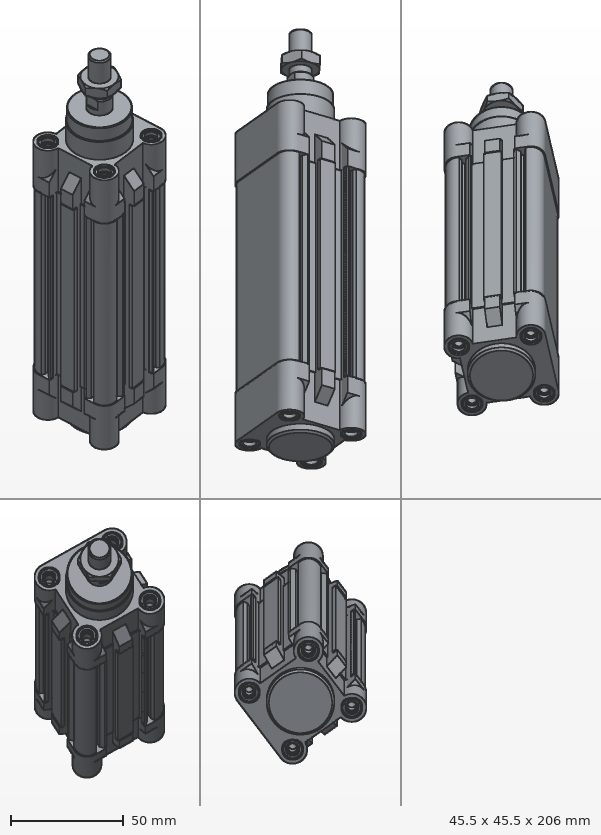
import cadquery as cq
import math


TOTAL_HEIGHT = 206.0
REAR_BOSS_HEIGHT = 4.0
FRONT_COVER_TOP = 158.0
COVER_LENGTH = 25.0
COLLAR_STEP_Z = 168.5
COLLAR_TOP = 176.0
THREAD_LENGTH = 21.6
NUT_BOTTOM = 187.9
NUT_HEIGHT = 5.5

COVER_WIDTH = 45.5
SCREW_OFFSET = 16.3
COVER_FLOOR = 16.9
RIB_WIDTH = 6.8
FOOT_INNER_EDGE = 10.0
STRAIGHT_RIB_LENGTH = 8.7

TUBE_WIDTH = 44.5
TUBE_FLOOR = 17.5
LIP_THICKNESS = 1.9
BAR_LIP_WIDTH = 8.0
LOBE_LIP_EDGE = 9.7
SENSOR_GROOVE_INNER = 10.7
SENSOR_GROOVE_OUTER = 15.0
SENSOR_GROOVE_FLANK = 1.6
SENSOR_GROOVE_STEEP_RUN = 0.8
SENSOR_GROOVE_DEPTH = 3.3
SENSOR_GROOVE_POINT = 0.8

COLLAR_DIAMETER = 30.0
COLLAR_NECK_DIAMETER = 29.0
COLLAR_CHAMFER = 0.5
REAR_BOSS_CHAMFER = 1.0

SCREW_RECESS_DIAMETER = 9.5
SCREW_RECESS_DEPTH = 1.5
SCREW_HEAD_DIAMETER = 8.7
SCREW_HEAD_TOP_DIAMETER = 8.0
SCREW_HEAD_DROP = 0.5
SCREW_SOCKET_DIAMETER = 6.0
SCREW_SOCKET_DEPTH = 2.5
SCREW_STEP_DIAMETER = 5.0
SCREW_STEP_DEPTH = 3.0
SCREW_HOLE_DIAMETER = 4.1
SCREW_HOLE_DEPTH = 8.2
DRILL_POINT_HALF_ANGLE = 59

ROD_DIAMETER = 12.0
ROD_FLATS = 10.0
ROD_FLATS_LENGTH = 5.4
THREAD_DIAMETER = 10.0
THREAD_TIP_DIAMETER = 8.7
ROD_SHOULDER_CHAMFER = 0.6
NUT_FLATS = 16.9
NUT_CHAMFER_ANGLE = 30

RECESSED_SIDE_ANGLES = (-90, 0, 90)
REAR_COVER_TOP = REAR_BOSS_HEIGHT + COVER_LENGTH
FRONT_COVER_BOTTOM = FRONT_COVER_TOP - COVER_LENGTH
THREAD_BOTTOM = TOTAL_HEIGHT - THREAD_LENGTH
SCREW_POSITIONS = [(sx * SCREW_OFFSET, sy * SCREW_OFFSET) for sx in (-1, 1) for sy in (-1, 1)]


def block(x0, x1, y0, y1, z0, z1):
    """A box between two corners."""
    return cq.Workplane("XY").box(x1 - x0, y1 - y0, z1 - z0, centered=False).translate((x0, y0, z0))


def turned(profile):
    """A solid of revolution about Z from (radius, height) points."""
    return cq.Workplane("XZ").polyline(profile).close().revolve(360, (0, 0), (0, 1))


def turned_to_side(shape, angle):
    """The shape made for the -Y side, turned about Z onto another side."""
    return shape.rotate((0, 0, 0), (0, 0, 1), angle)


def rounded_column(width, z0, z1):
    """A square column whose corners are rounded about the screw axes."""
    column = block(-width / 2, width / 2, -width / 2, width / 2, z0, z1)
    return column.edges("|Z").fillet(width / 2 - SCREW_OFFSET)


def rib_with_run_out(x0, x1):
    """A rib on the -Y side of the front cover whose upper end runs out at 45 degrees."""
    depth = COVER_WIDTH / 2 - COVER_FLOOR
    slope_start = FRONT_COVER_BOTTOM + STRAIGHT_RIB_LENGTH
    profile = [
        (-COVER_FLOOR, FRONT_COVER_BOTTOM),
        (-COVER_WIDTH / 2, FRONT_COVER_BOTTOM),
        (-COVER_WIDTH / 2, slope_start),
        (-COVER_FLOOR, slope_start + depth),
    ]
    return cq.Workplane("YZ").polyline(profile).close().extrude(x1 - x0).translate((x0, 0, 0))


def cover_screw_cut(x, y):
    """The space around a screw head, with the stepped socket and drilled hole in the head."""
    recess_floor = -SCREW_RECESS_DEPTH
    head_top = -SCREW_HEAD_DROP
    head_edge = head_top - (SCREW_HEAD_DIAMETER - SCREW_HEAD_TOP_DIAMETER) / 2
    point_length = SCREW_HOLE_DIAMETER / 2 / math.tan(math.radians(DRILL_POINT_HALF_ANGLE))
    cut = turned([
        (0, 0),
        (SCREW_RECESS_DIAMETER / 2, 0),
        (SCREW_RECESS_DIAMETER / 2, recess_floor),
        (SCREW_HEAD_DIAMETER / 2, recess_floor),
        (SCREW_HEAD_DIAMETER / 2, head_edge),
        (SCREW_HEAD_TOP_DIAMETER / 2, head_top),
        (SCREW_SOCKET_DIAMETER / 2, head_top),
        (SCREW_SOCKET_DIAMETER / 2, -SCREW_SOCKET_DEPTH),
        (SCREW_STEP_DIAMETER / 2, -SCREW_SOCKET_DEPTH),
        (SCREW_STEP_DIAMETER / 2, -SCREW_STEP_DEPTH),
        (SCREW_HOLE_DIAMETER / 2, -SCREW_STEP_DEPTH),
        (SCREW_HOLE_DIAMETER / 2, -SCREW_HOLE_DEPTH),
        (0, -SCREW_HOLE_DEPTH - point_length),
    ])
    return cut.translate((x, y, FRONT_COVER_TOP))


def make_front_cover():
    """The front cover with round corner lobes, recessed sides, ribs, feet and screws."""
    z0, z1 = FRONT_COVER_BOTTOM, FRONT_COVER_TOP
    half = COVER_WIDTH / 2
    cover = rounded_column(COVER_WIDTH, z0, z1)
    recess = block(-SCREW_OFFSET, SCREW_OFFSET, -half, -COVER_FLOOR, z0, z1)
    for angle in RECESSED_SIDE_ANGLES:
        cover = cover.cut(turned_to_side(recess, angle))
    lobe = cq.Workplane("XY").circle(half - SCREW_OFFSET).extrude(COVER_LENGTH)
    lobe = lobe.translate((SCREW_OFFSET, SCREW_OFFSET, z0))
    for angle in (0, 90, 180, 270):
        cover = cover.union(turned_to_side(lobe, angle))
    foot = rib_with_run_out(FOOT_INNER_EDGE, SCREW_OFFSET)
    middle_rib = rib_with_run_out(-RIB_WIDTH / 2, RIB_WIDTH / 2)
    for angle in RECESSED_SIDE_ANGLES:
        for rib in (foot, middle_rib, foot.mirror("YZ")):
            cover = cover.union(turned_to_side(rib, angle))
    for x, y in SCREW_POSITIONS:
        cover = cover.cut(cover_screw_cut(x, y))
    return cover


def make_rear_cover(front_cover):
    """The rear cover: the front cover mirrored about the middle of the tube."""
    middle = (REAR_BOSS_HEIGHT + FRONT_COVER_TOP) / 2
    return front_cover.mirror("XY", (0, 0, middle))


def make_side_slots():
    """The two undercut slots and the two sensor grooves of the -Y side of the tube."""
    z0, length = REAR_COVER_TOP, FRONT_COVER_BOTTOM - REAR_COVER_TOP
    face = -TUBE_WIDTH / 2
    lip = face + LIP_THICKNESS
    slot = [
        (BAR_LIP_WIDTH / 2, face),
        (LOBE_LIP_EDGE, face),
        (LOBE_LIP_EDGE, lip),
        (FOOT_INNER_EDGE, lip),
        (FOOT_INNER_EDGE, -TUBE_FLOOR),
        (RIB_WIDTH / 2, -TUBE_FLOOR),
        (RIB_WIDTH / 2, lip),
        (BAR_LIP_WIDTH / 2, lip),
    ]
    flank_end = SENSOR_GROOVE_INNER + SENSOR_GROOVE_FLANK
    steep_end = SENSOR_GROOVE_OUTER - SENSOR_GROOVE_STEEP_RUN
    groove = [
        (SENSOR_GROOVE_INNER, face),
        (SENSOR_GROOVE_OUTER, face),
        (steep_end, face + SENSOR_GROOVE_FLANK),
        (steep_end, face + SENSOR_GROOVE_DEPTH),
        ((steep_end + flank_end) / 2, face + SENSOR_GROOVE_DEPTH + SENSOR_GROOVE_POINT),
        (flank_end, face + SENSOR_GROOVE_DEPTH),
        (flank_end, face + SENSOR_GROOVE_FLANK),
    ]
    slots = []
    for outline in (slot, groove):
        cut = cq.Workplane("XY").workplane(offset=z0).polyline(outline).close().extrude(length)
        slots += [cut, cut.mirror("YZ")]
    return slots


def make_tube():
    """The profiled tube between the covers."""
    tube = rounded_column(TUBE_WIDTH, REAR_COVER_TOP, FRONT_COVER_BOTTOM)
    slots = make_side_slots()
    for angle in RECESSED_SIDE_ANGLES:
        for slot in slots:
            tube = tube.cut(turned_to_side(slot, angle))
    return tube


def make_collar():
    """The stepped round collar on the front cover."""
    radius, neck = COLLAR_DIAMETER / 2, COLLAR_NECK_DIAMETER / 2
    return turned([
        (0, FRONT_COVER_TOP),
        (radius, FRONT_COVER_TOP),
        (radius, COLLAR_STEP_Z - COLLAR_CHAMFER),
        (neck, COLLAR_STEP_Z),
        (neck, COLLAR_TOP - COLLAR_CHAMFER),
        (neck - COLLAR_CHAMFER, COLLAR_TOP),
        (0, COLLAR_TOP),
    ])


def make_rear_boss():
    """The round boss under the rear cover, with a chamfered lower edge."""
    boss = cq.Workplane("XY").circle(COLLAR_DIAMETER / 2).extrude(REAR_BOSS_HEIGHT)
    return boss.faces("<Z").chamfer(REAR_BOSS_CHAMFER)


def make_housing():
    front_cover = make_front_cover()
    housing = make_tube().union(front_cover).union(make_rear_cover(front_cover))
    return housing.union(make_collar()).union(make_rear_boss())


def make_piston_rod():
    """The rod standing on the collar, with its thread and two wrench flats facing -Y and +Y."""
    radius, thread, tip = ROD_DIAMETER / 2, THREAD_DIAMETER / 2, THREAD_TIP_DIAMETER / 2
    rod = turned([
        (0, COLLAR_TOP),
        (radius, COLLAR_TOP),
        (radius, THREAD_BOTTOM - ROD_SHOULDER_CHAMFER),
        (radius - ROD_SHOULDER_CHAMFER, THREAD_BOTTOM),
        (thread, THREAD_BOTTOM),
        (thread, TOTAL_HEIGHT - (thread - tip)),
        (tip, TOTAL_HEIGHT),
        (0, TOTAL_HEIGHT),
    ])
    for y0 in (ROD_FLATS / 2, -ROD_FLATS / 2 - radius):
        flat = block(-radius, radius, y0, y0 + radius, THREAD_BOTTOM - ROD_FLATS_LENGTH, THREAD_BOTTOM)
        rod = rod.cut(flat)
    return rod


def make_lock_nut():
    """A hexagon nut with corners along Y, its corners turned down on both faces."""
    corner_radius = NUT_FLATS / 2 / math.cos(math.pi / 6)
    chamfer_run = corner_radius - NUT_FLATS / 2
    chamfer_drop = chamfer_run * math.tan(math.radians(NUT_CHAMFER_ANGLE))
    hexagon = cq.Workplane("XY").polygon(6, 2 * corner_radius).extrude(NUT_HEIGHT)
    envelope = turned([
        (0, 0),
        (NUT_FLATS / 2, 0),
        (corner_radius, chamfer_drop),
        (corner_radius, NUT_HEIGHT - chamfer_drop),
        (NUT_FLATS / 2, NUT_HEIGHT),
        (0, NUT_HEIGHT),
    ])
    nut = hexagon.rotate((0, 0, 0), (0, 0, 1), 90).intersect(envelope)
    nut = nut.cut(cq.Workplane("XY").circle(THREAD_DIAMETER / 2).extrude(NUT_HEIGHT))
    return nut.translate((0, 0, NUT_BOTTOM))


housing = make_housing()
piston_rod = make_piston_rod()
lock_nut = make_lock_nut()
bodies = [body.solids().val() for body in (housing, piston_rod, lock_nut)]
result = cq.Compound.makeCompound(bodies)